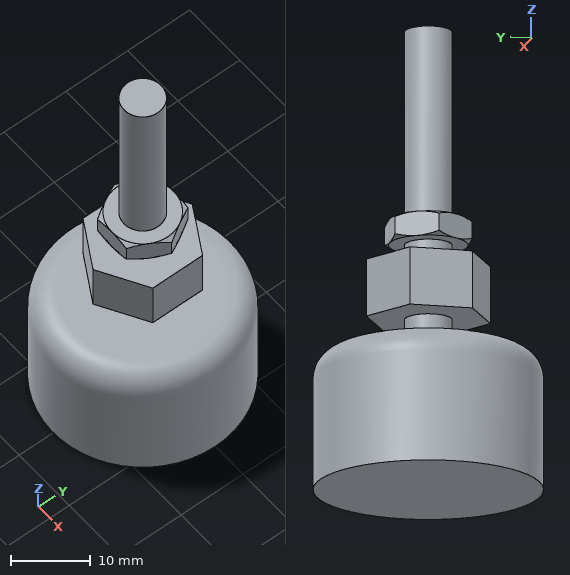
import cadquery as cq
import math

foot_diameter = 29.0
foot_height = 18.0
foot_rim_radius = 3.5

total_height = 59.6
rod_diameter = 6.0
hexagon_across_flats = 13.95
hexagon_height = 7.45
hexagon_bottom = foot_height + 4.1

nut_across_flats = 10.0
nut_height = 3.15
nut_bottom = hexagon_bottom + hexagon_height + 2.25
nut_chamfer_angle = 30.0


def across_corners(across_flats):
    return across_flats / math.cos(math.radians(30))


def make_foot():
    foot = cq.Workplane("XY").circle(foot_diameter / 2).extrude(foot_height)
    return foot.faces(">Z").edges().fillet(foot_rim_radius)


def make_stud():
    rod = (
        cq.Workplane("XY", origin=(0, 0, foot_height))
        .circle(rod_diameter / 2)
        .extrude(total_height - foot_height)
    )
    hexagon = (
        cq.Workplane("XY", origin=(0, 0, hexagon_bottom))
        .transformed(rotate=(0, 0, 90))
        .polygon(6, across_corners(hexagon_across_flats))
        .extrude(hexagon_height)
    )
    return rod.union(hexagon)


def make_nut():
    corner_radius = across_corners(nut_across_flats) / 2
    face_radius = nut_across_flats / 2
    chamfer_drop = (corner_radius - face_radius) * math.tan(math.radians(nut_chamfer_angle))
    blank = (
        cq.Workplane("XY", origin=(0, 0, nut_bottom))
        .polygon(6, 2 * corner_radius)
        .extrude(nut_height)
    )
    chamfered_ring = (
        cq.Workplane("XZ", origin=(0, 0, nut_bottom))
        .moveTo(rod_diameter / 2, 0)
        .lineTo(face_radius, 0)
        .lineTo(corner_radius, chamfer_drop)
        .lineTo(corner_radius, nut_height - chamfer_drop)
        .lineTo(face_radius, nut_height)
        .lineTo(rod_diameter / 2, nut_height)
        .close()
        .revolve(360, (0, 0, 0), (0, 1, 0))
    )
    return blank.intersect(chamfered_ring)


foot = make_foot()
stud = make_stud()
nut = make_nut()

result = cq.Compound.makeCompound([foot.val(), stud.val(), nut.val()])